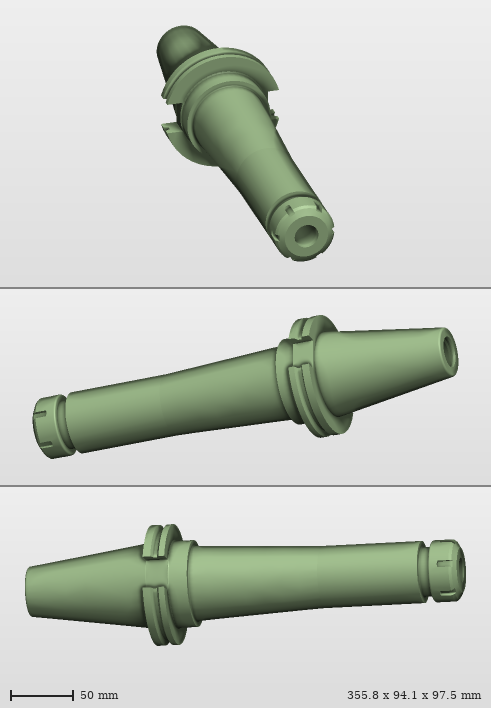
import cadquery as cq
import math

gauge_x = 102.5
flange_front_x = 103.0
flange_back_x = 121.0
collar_end_x = 137.0
cone_end_x = 242.3
shank_end_x = 324.5
nut_back_x = 333.5
total_length = 355.8

taper_small_diameter = 40.2
gauge_diameter = 69.7
flange_diameter = 97.5
collar_diameter = 70.0
cone_diameter = 61.0
shank_diameter = 50.0
spigot_diameter = 40.0

taper_end_radius = 1.8
inner_corner_radius = 1.0

bore_diameter = 20.0
mouth_diameter = 25.3
mouth_chamfer_depth = 1.8
counterbore_diameter = 23.5
counterbore_depth = 3.5
counterbore_cone_depth = 1.0

groove_x = 112.8
groove_depth = 4.0
groove_floor_width = 3.0
groove_mouth_width = 6.8

drive_slot_width = 25.5
shallow_slot_floor = 37.7
deep_slot_floor = 34.0

nut_diameter = 50.0
nut_back_radius = 1.5
nut_rim_length = 2.0
nut_rim_diameter = 47.0
nut_nose_length = 3.2
nut_end_diameter = 36.3
nut_recess_depth = 14.2
spigot_end_x = nut_back_x + nut_recess_depth

wrench_slot_count = 6
wrench_slot_width = 5.5
wrench_slot_start_x = 341.0
wrench_slot_end_diameter = 10.0
wrench_slot_floor = 22.0


def revolve_about_x(outline):
    """Solid of revolution from a closed (x, radius) outline."""
    return outline.close().revolve(360, (0, 0, 0), (1, 0, 0))


def cylinder(start_x, end_x, diameter):
    """Cylinder along the X axis."""
    return cq.Workplane("YZ", origin=(start_x, 0, 0)).circle(diameter / 2).extrude(end_x - start_x)


def coaxial_box(center_x, half_size):
    """Selector for edges that lie inside a square box around the X axis, thin along X."""
    thickness = 0.5
    low = (center_x - thickness / 2, -half_size, -half_size)
    high = (center_x + thickness / 2, half_size, half_size)
    return cq.selectors.BoxSelector(low, high, boundingbox=True)


def ring_edge(x, diameter):
    """Selector for the circular edge of a given diameter at a given X."""
    margin = 0.18
    return coaxial_box(x, diameter / 2 + margin) - coaxial_box(x, diameter / 2 - margin)


def make_holder_blank():
    """Taper, flange with its groove, collar, cone, shank and spigot, still without bore and slots."""
    flange_radius = flange_diameter / 2
    groove_floor_radius = flange_radius - groove_depth
    outline = cq.Workplane("XY").polyline([
        (0, 0),
        (0, taper_small_diameter / 2),
        (gauge_x, gauge_diameter / 2),
        (flange_front_x, gauge_diameter / 2),
        (flange_front_x, flange_radius),
        (groove_x - groove_mouth_width / 2, flange_radius),
        (groove_x - groove_floor_width / 2, groove_floor_radius),
        (groove_x + groove_floor_width / 2, groove_floor_radius),
        (groove_x + groove_mouth_width / 2, flange_radius),
        (flange_back_x, flange_radius),
        (flange_back_x, collar_diameter / 2),
        (collar_end_x, collar_diameter / 2),
        (collar_end_x, cone_diameter / 2),
        (cone_end_x, shank_diameter / 2),
        (shank_end_x, shank_diameter / 2),
        (shank_end_x, spigot_diameter / 2),
        (spigot_end_x, spigot_diameter / 2),
        (spigot_end_x, 0),
    ])
    blank = revolve_about_x(outline)
    blank = blank.edges(ring_edge(0, taper_small_diameter)).fillet(taper_end_radius)
    for x, diameter in (
        (flange_back_x, collar_diameter),
        (collar_end_x, cone_diameter),
        (shank_end_x, spigot_diameter),
    ):
        blank = blank.edges(ring_edge(x, diameter)).fillet(inner_corner_radius)
    return blank


def make_bore():
    """Through bore with a chamfered counterbore at the small end."""
    outline = cq.Workplane("XZ").polyline([
        (0, 0),
        (0, mouth_diameter / 2),
        (mouth_chamfer_depth, counterbore_diameter / 2),
        (counterbore_depth, counterbore_diameter / 2),
        (counterbore_depth + counterbore_cone_depth, bore_diameter / 2),
        (spigot_end_x, bore_diameter / 2),
        (spigot_end_x, 0),
    ])
    return revolve_about_x(outline)


def make_drive_slot(floor, side):
    """Box that cuts the flange on the +Y side (side = 1) or the -Y side (side = -1)."""
    depth = flange_diameter / 2 - floor
    length = flange_back_x - flange_front_x
    slot = cq.Workplane("XY").box(length, depth, drive_slot_width, centered=(False, True, True))
    return slot.translate((flange_front_x, side * (floor + depth / 2), 0))


def make_holder():
    holder = make_holder_blank().cut(make_bore())
    holder = holder.cut(make_drive_slot(shallow_slot_floor, 1))
    return holder.cut(make_drive_slot(deep_slot_floor, -1))


def make_wrench_slot(angle):
    """Flat-floored slot with a bowed end, from the side of the nut through its nose, turned about X."""
    half_width = wrench_slot_width / 2
    bow_radius = wrench_slot_end_diameter / 2
    bow_depth = bow_radius - math.sqrt(bow_radius ** 2 - half_width ** 2)
    corner_x = wrench_slot_start_x + bow_depth
    slot = (
        cq.Workplane("XZ", origin=(0, wrench_slot_floor, 0))
        .moveTo(total_length, -half_width)
        .lineTo(corner_x, -half_width)
        .threePointArc((wrench_slot_start_x, 0), (corner_x, half_width))
        .lineTo(total_length, half_width)
        .close()
        .extrude(wrench_slot_floor - nut_diameter / 2)
    )
    return slot.rotate((0, 0, 0), (1, 0, 0), angle)


def make_nut():
    nose_start_x = total_length - nut_nose_length
    outline = cq.Workplane("XZ").polyline([
        (nut_back_x, 0),
        (nut_back_x, nut_diameter / 2),
        (nose_start_x - nut_rim_length, nut_diameter / 2),
        (nose_start_x, nut_rim_diameter / 2),
        (total_length, nut_end_diameter / 2),
        (total_length, 0),
    ])
    nut = revolve_about_x(outline)
    nut = nut.edges(ring_edge(nut_back_x, nut_diameter)).fillet(nut_back_radius)
    nut = nut.cut(cylinder(nut_back_x, spigot_end_x, spigot_diameter))
    nut = nut.cut(cylinder(spigot_end_x, total_length, bore_diameter))
    for i in range(wrench_slot_count):
        nut = nut.cut(make_wrench_slot(i * 360 / wrench_slot_count))
    return nut


holder = make_holder()
nut = make_nut()
result = cq.Compound.makeCompound([holder.solids().val(), nut.solids().val()])